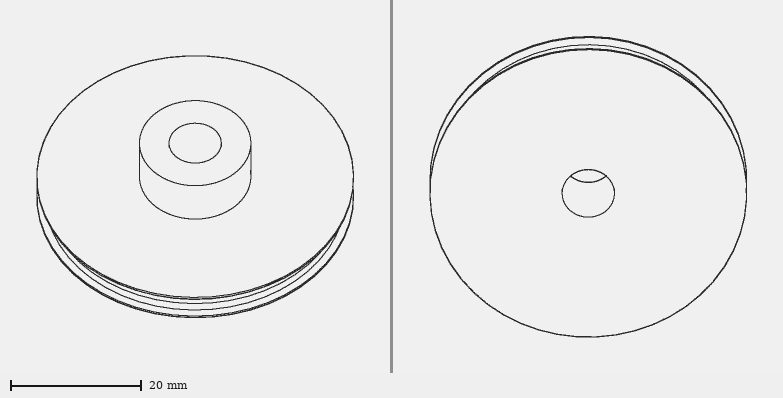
import cadquery as cq

flange_diameter = 48.5
rim_diameter = 46.1
disc_thickness = 4.8
flange_thickness = 0.4
groove_radius = 0.5
hub_diameter = 17.08
bore_diameter = 8.0
total_height = 12.7

flange_radius = flange_diameter / 2
rim_radius = rim_diameter / 2
hub_radius = hub_diameter / 2
bore_radius = bore_diameter / 2
groove_height = disc_thickness / 2
upper_flange_bottom = disc_thickness - flange_thickness

half_section = (
    cq.Workplane("XZ")
    .moveTo(bore_radius, 0)
    .lineTo(flange_radius, 0)
    .lineTo(flange_radius, flange_thickness)
    .lineTo(rim_radius, flange_thickness)
    .lineTo(rim_radius, groove_height - groove_radius)
    .threePointArc(
        (rim_radius - groove_radius, groove_height),
        (rim_radius, groove_height + groove_radius),
    )
    .lineTo(rim_radius, upper_flange_bottom)
    .lineTo(flange_radius, upper_flange_bottom)
    .lineTo(flange_radius, disc_thickness)
    .lineTo(hub_radius, disc_thickness)
    .lineTo(hub_radius, total_height)
    .lineTo(bore_radius, total_height)
    .close()
)

result = half_section.revolve(360, (0, 0, 0), (0, 1, 0))